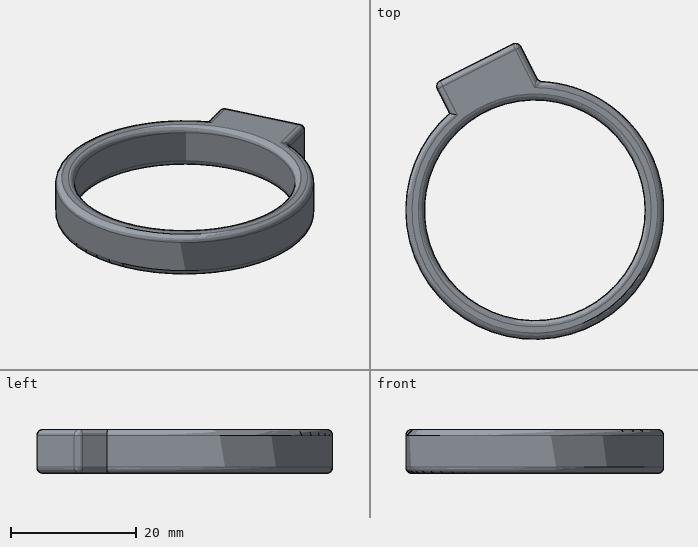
import cadquery as cq
import math

BORE_DIAMETER = 35.0
OUTER_DIAMETER = 41.0
HEIGHT = 7.0
ROUNDING = 1.0

BOSS_ANGLE = 26.8
BOSS_WIDTH = 14.9
BOSS_OFFSET = 2.3
BOSS_REACH = 25.15


def make_boss():
    """Block from the ring axis out to the flat face, with its two upright outer edges rounded."""
    return (
        cq.Workplane("XY")
        .center(BOSS_OFFSET, BOSS_REACH / 2)
        .rect(BOSS_WIDTH, BOSS_REACH)
        .extrude(HEIGHT)
        .edges("|Z and >Y")
        .fillet(ROUNDING)
        .rotate((0, 0, 0), (0, 0, 1), BOSS_ANGLE)
    )


def inside_corner():
    """Mid-height point where the +X side of the boss meets the outside of the ring."""
    ring_radius = OUTER_DIAMETER / 2
    boss_side = BOSS_OFFSET + BOSS_WIDTH / 2
    angle = math.radians(BOSS_ANGLE) + math.acos(boss_side / ring_radius)
    return (ring_radius * math.cos(angle), ring_radius * math.sin(angle), HEIGHT / 2)


def make_housing():
    """Ring and boss in one piece, with rounded end-face edges and one blended inside corner."""
    disc = cq.Workplane("XY").circle(OUTER_DIAMETER / 2).extrude(HEIGHT)
    bore = cq.Workplane("XY").circle(BORE_DIAMETER / 2).extrude(HEIGHT)
    housing = disc.union(make_boss()).cut(bore)
    housing = housing.faces("<Z or >Z").edges().fillet(ROUNDING)

    corner_edge = cq.selectors.NearestToPointSelector(inside_corner())
    return housing.edges(corner_edge).fillet(ROUNDING)


housing = make_housing()

result = cq.Compound.makeCompound([housing.val()])